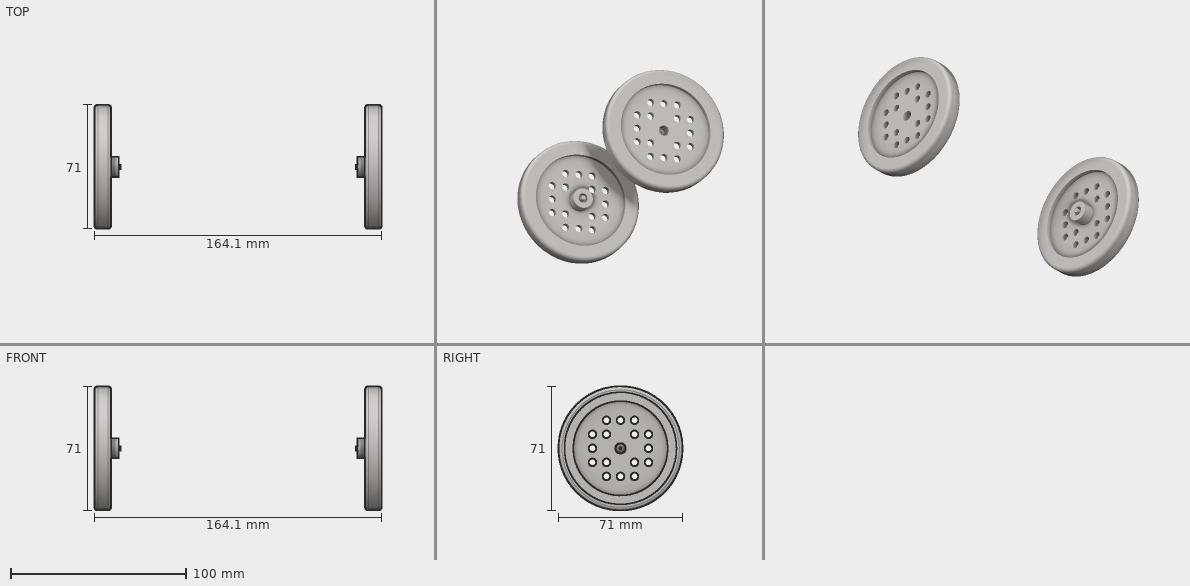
import cadquery as cq

overall_length = 164.07
wheel_width = 9.6
recess_depth = 3.1
boss_end = 14.0
pin_end = 15.0
head_start = 8.0
head_length = 3.0
socket_depth = 1.0

tyre_diameter = 71.0
hub_diameter = 64.0
recess_diameter = 53.9
boss_diameter = 11.6
outer_bore_diameter = 6.0
head_diameter = 5.5
pin_diameter = 2.5
socket_diameter = 1.0

tyre_fillet = 2.0

hole_diameter = 4.2
hole_pitch = 8.0
quarter_hole_steps = [(-1, 2), (0, 2), (1, 2), (1, 1)]

head_rounding = (head_diameter - pin_diameter) / 2
head_end = head_start + head_length


def disc(diameter, start, end):
    """Cylinder on the wheel axis between two places along it."""
    return cq.Workplane("YZ", origin=(start, 0, 0)).circle(diameter / 2).extrude(end - start)


def make_through_holes():
    """Cutters for the sixteen holes through the wheel disc."""
    points = [(y * hole_pitch, z * hole_pitch) for y, z in quarter_hole_steps]
    quarter = cq.Workplane("YZ").pushPoints(points).circle(hole_diameter / 2).extrude(wheel_width)
    holes = []
    for angle in (0, 90, 180, 270):
        holes += quarter.rotate((0, 0, 0), (1, 0, 0), angle).vals()
    return cq.Workplane(cq.Compound.makeCompound(holes))


def make_hub():
    """Wheel disc recessed on both sides, with a bored boss on the inner side."""
    hub = disc(hub_diameter, 0, wheel_width)
    hub = hub.cut(disc(recess_diameter, 0, recess_depth))
    hub = hub.cut(disc(recess_diameter, wheel_width - recess_depth, wheel_width))
    hub = hub.union(disc(boss_diameter, recess_depth, boss_end))
    hub = hub.cut(disc(outer_bore_diameter, 0, head_start))
    hub = hub.cut(disc(head_diameter, head_start, boss_end))
    return hub.cut(make_through_holes())


def make_tyre():
    """Ring around the hub, as wide as the hub, with rounded outer edges."""
    tyre = disc(tyre_diameter, 0, wheel_width).edges().fillet(tyre_fillet)
    return tyre.cut(disc(hub_diameter, 0, wheel_width))


def make_screw():
    """Round-headed screw: the head fills the narrow bore and the pin leaves through the boss."""
    head = disc(head_diameter, head_start, head_end).faces("<X").edges().fillet(head_rounding)
    screw = head.union(disc(pin_diameter, head_end, pin_end))
    return screw.cut(disc(socket_diameter, head_start, head_start + socket_depth))


bodies = []
for body in (make_hub(), make_tyre(), make_screw()):
    left_body = body.translate((-overall_length / 2, 0, 0)).solids().val()
    bodies += [left_body, left_body.mirror("YZ")]

result = cq.Compound.makeCompound(bodies)